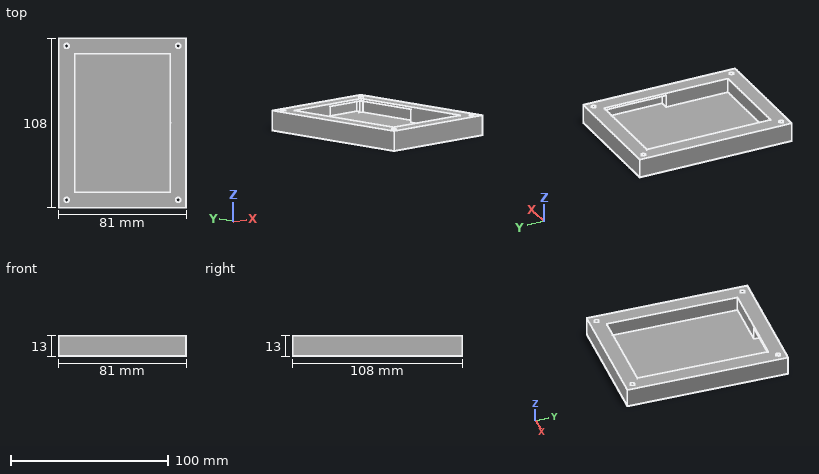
import cadquery as cq

width = 81.0
length = 108.0
height = 13.0

rim = 10.0
floor_thickness = 3.0
opening_width = width - 2 * rim
opening_length = length - 2 * rim

lip_thickness = 1.5
undercut_start_x = 2.2
undercut_start_y = 0.0
undercut_wall_x = 4.5
undercut_wall_y = 1.0

hole_diameter = 2.9
hole_inset = rim / 2


def box_between(x_min, x_max, y_min, y_max, z_min, z_max):
    """Box spanning the given limits along each axis."""
    size = (x_max - x_min, y_max - y_min, z_max - z_min)
    return cq.Workplane("XY").box(*size, centered=False).translate((x_min, y_min, z_min))


block = cq.Workplane("XY").box(width, length, height, centered=(True, True, False))

opening = box_between(
    -opening_width / 2, opening_width / 2,
    -opening_length / 2, opening_length / 2,
    floor_thickness, height,
)

undercut = box_between(
    undercut_start_x, width / 2 - undercut_wall_x,
    undercut_start_y, length / 2 - undercut_wall_y,
    floor_thickness, height - lip_thickness,
)

holes = (
    cq.Workplane("XY")
    .rect(width - 2 * hole_inset, length - 2 * hole_inset, forConstruction=True)
    .vertices()
    .circle(hole_diameter / 2)
    .extrude(height)
)

result = block.cut(opening).cut(undercut).cut(holes)